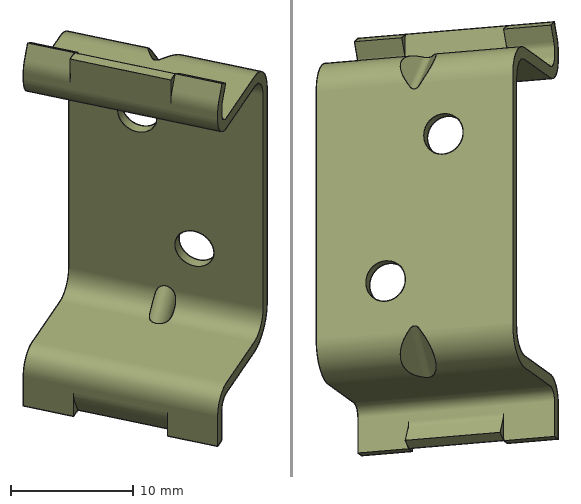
import cadquery as cq
import math

width = 17.0
depth = 11.5
height = 35.0
thickness = 1.0
channel_opening = 25.0

back_bend_radius = 2.0
flange_bend_radius = 1.0
lip_bend_radius = 1.0
lip_angle = math.radians(30)

upper_tongue_width = 8.8
lower_lip_width = 8.2

hole_diameter = 3.4
hole_x = 2.5
hole_z = 6.0

rib_radius = 1.0
rib_leg = 2.27
groove_leg = 3.5
groove_radius = 0.55
groove_flank_angle = math.radians(45)

front_y = -depth / 2
back_y = depth / 2
flange_inner_y = front_y + thickness
wall_inner_y = back_y - thickness
arm_inner_z = channel_opening / 2
arm_outer_z = arm_inner_z + thickness
end_z = height / 2
back_outer_radius = back_bend_radius + thickness
flange_outer_radius = flange_bend_radius + thickness
lip_outer_radius = lip_bend_radius + thickness

lip_bend_offset = lip_outer_radius * (1 - math.cos(lip_angle))
lip_straight_rise = (thickness - lip_bend_offset) / math.tan(lip_angle)
lip_start_z = end_z - lip_straight_rise - lip_outer_radius * math.sin(lip_angle)


def polar(center, radius, angle):
    """Point (y, z) at a radius and angle from a centre, the angle measured from +Y."""
    return (center[0] + radius * math.cos(angle), center[1] + radius * math.sin(angle))


def extrude_across(section, x_start, x_end):
    """Extrude a closed YZ outline between two X positions."""
    return section.extrude(x_end - x_start).translate((x_start, 0, 0))


def upper_half_channel():
    """Back wall, arm and flange above mid-height, up to where the lips start to bend."""
    back_center = (wall_inner_y - back_bend_radius, arm_inner_z - back_bend_radius)
    flange_center = (front_y + flange_outer_radius, arm_inner_z + flange_outer_radius)
    back_middle = math.radians(45)
    flange_middle = math.radians(225)
    section = (
        cq.Workplane("YZ")
        .moveTo(back_y, 0)
        .lineTo(back_y, back_center[1])
        .threePointArc(polar(back_center, back_outer_radius, back_middle), (back_center[0], arm_outer_z))
        .lineTo(flange_center[0], arm_outer_z)
        .threePointArc(
            polar(flange_center, flange_bend_radius, flange_middle), (flange_inner_y, flange_center[1])
        )
        .lineTo(flange_inner_y, lip_start_z)
        .lineTo(front_y, lip_start_z)
        .lineTo(front_y, flange_center[1])
        .threePointArc(
            polar(flange_center, flange_outer_radius, flange_middle), (flange_center[0], arm_inner_z)
        )
        .lineTo(back_center[0], arm_inner_z)
        .threePointArc(polar(back_center, back_bend_radius, back_middle), (wall_inner_y, back_center[1]))
        .lineTo(wall_inner_y, 0)
        .close()
    )
    return extrude_across(section, -width / 2, width / 2)


def straight_end(x_start, x_end):
    """Flat continuation of the upper flange to the full height."""
    section = (
        cq.Workplane("YZ")
        .moveTo(front_y, lip_start_z)
        .lineTo(flange_inner_y, lip_start_z)
        .lineTo(flange_inner_y, end_z)
        .lineTo(front_y, end_z)
        .close()
    )
    return extrude_across(section, x_start, x_end)


def bent_lip(x_start, x_end):
    """End of the upper flange bent backwards by the lip angle."""
    center = (front_y + lip_outer_radius, lip_start_z)
    bend_end = math.pi - lip_angle
    bend_middle = math.pi - lip_angle / 2
    tip_front = (flange_inner_y, end_z)
    tip_back = polar(tip_front, thickness, -lip_angle)
    section = (
        cq.Workplane("YZ")
        .moveTo(front_y, lip_start_z)
        .threePointArc(
            polar(center, lip_outer_radius, bend_middle), polar(center, lip_outer_radius, bend_end)
        )
        .lineTo(*tip_front)
        .lineTo(*tip_back)
        .lineTo(*polar(center, lip_bend_radius, bend_end))
        .threePointArc(polar(center, lip_bend_radius, bend_middle), (flange_inner_y, lip_start_z))
        .close()
    )
    return extrude_across(section, x_start, x_end)


def upper_ends():
    """Straight tongue in the middle with a lip on each side."""
    tongue_edge = upper_tongue_width / 2
    left_lip = bent_lip(-width / 2, -tongue_edge)
    right_lip = bent_lip(tongue_edge, width / 2)
    return [straight_end(-tongue_edge, tongue_edge), left_lip, right_lip]


def lower_ends():
    """One lip in the middle with a straight tongue on each side."""
    lip_edge = lower_lip_width / 2
    left_tongue = straight_end(-width / 2, -lip_edge)
    right_tongue = straight_end(lip_edge, width / 2)
    ends = [bent_lip(-lip_edge, lip_edge), left_tongue, right_tongue]
    return [end.mirror("XY") for end in ends]


def dart_plane(corner_z, leg):
    """Plane across the 45 degree line that cuts both walls one leg from a sharp upper corner.

    Its local x is the part's X, its local y points out to the corner, and it sits on the wall end.
    """
    corner_y = corner_z - arm_outer_z + back_y
    return cq.Plane(origin=(0, corner_y, corner_z - leg), xDir=(1, 0, 0), normal=(0, -1, 1))


def dart_rib():
    """Round rib across the inside of the upper back corner, ending inside the sheet."""
    overrun = 2 * thickness
    length = rib_leg * math.sqrt(2) + 2 * overrun
    rib = (
        cq.Workplane(dart_plane(arm_inner_z, rib_leg))
        .workplane(offset=-overrun)
        .center(0, rib_radius)
        .circle(rib_radius)
        .extrude(length)
    )
    mid_sheet_y = back_y - thickness / 2
    mid_sheet_z = arm_outer_z - thickness / 2
    corner_space = cq.Workplane("XY").box(width, depth, arm_outer_z, centered=(True, False, False))
    return rib.intersect(corner_space.translate((0, mid_sheet_y - depth, mid_sheet_z - arm_outer_z)))


def dart_groove():
    """Round-bottomed V groove across the outside of the upper back corner."""
    overrun = 2 * thickness
    length = groove_leg * math.sqrt(2) + 2 * overrun
    tangent_x = groove_radius * math.cos(groove_flank_angle)
    tangent_y = groove_radius * (1 - math.sin(groove_flank_angle))
    top_y = groove_leg
    top_x = tangent_x + (top_y - tangent_y) * math.tan(groove_flank_angle)
    return (
        cq.Workplane(dart_plane(arm_outer_z, groove_leg))
        .workplane(offset=-overrun)
        .moveTo(-top_x, top_y)
        .lineTo(-tangent_x, tangent_y)
        .threePointArc((0, 0), (tangent_x, tangent_y))
        .lineTo(top_x, top_y)
        .close()
        .extrude(length)
    )


def mounting_holes():
    """Two holes through the back wall, diagonally opposite each other."""
    return (
        cq.Workplane("XZ", origin=(0, back_y + thickness, 0))
        .pushPoints([(-hole_x, hole_z), (hole_x, -hole_z)])
        .circle(hole_diameter / 2)
        .extrude(3 * thickness)
    )


half = upper_half_channel().union(dart_rib()).cut(dart_groove())
bracket = half.union(half.mirror("XY"))
for flange_end in upper_ends() + lower_ends():
    bracket = bracket.union(flange_end)

result = bracket.cut(mounting_holes()).clean()